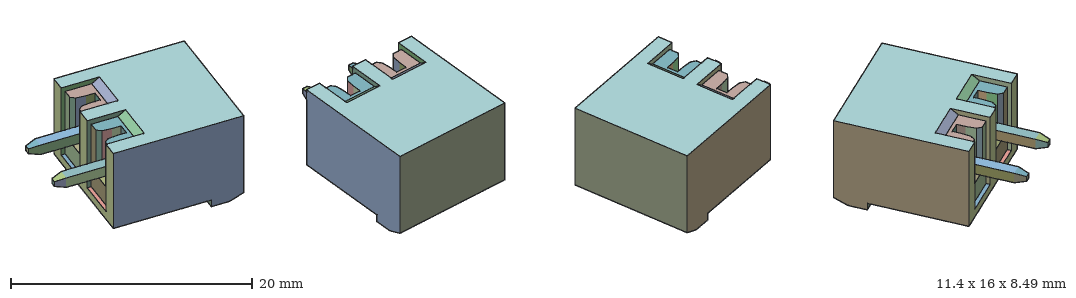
import cadquery as cq

housing_width = 11.4
housing_depth = 12.0
housing_height = 7.8

foot_depth = 3.0
foot_height = 0.69
foot_chamfer_depth = 1.3
foot_chamfer_height = 0.5

pitch = 5.0
contact_centres = [-pitch / 2, pitch / 2]

pocket_width = 3.58
front_recess_depth = 0.37
front_recess_height = 6.98
shelf_drop = 0.48
shelf_depth = 2.82
shelf_rear_slope_depth = 0.7

pin_size = 1.0
pin_reach = 4.0
pin_centre_z = 3.92
pin_bottom_z = pin_centre_z - pin_size / 2
tip_length = 1.0
tip_size = pin_size / 2

slot_width = 1.02
slot_depth = 2.5
flare_start_depth = 1.7
lead_in_depth = 0.77
lead_in_width = 1.2
mouth_width = 1.82
floor_clearance = 0.03
mouth_height = 5.07
mouth_floor_z = housing_height - mouth_height


def make_housing():
    """Side outline of the block and its chamfered foot, extruded across the width."""
    foot_front = housing_depth - foot_depth
    return (
        cq.Workplane("YZ")
        .moveTo(0, 0)
        .lineTo(foot_front, 0)
        .lineTo(foot_front, -foot_height)
        .lineTo(housing_depth - foot_chamfer_depth, -foot_height)
        .lineTo(housing_depth, foot_chamfer_height - foot_height)
        .lineTo(housing_depth, housing_height)
        .lineTo(0, housing_height)
        .close()
        .extrude(housing_width / 2, both=True)
    )


def make_pocket():
    """Stepped pocket: a thin front recess joined to a shallow shelf with a sloped rear wall."""
    shelf_z = housing_height - shelf_drop
    recess_bottom = housing_height - front_recess_height
    return (
        cq.Workplane("YZ")
        .moveTo(0, recess_bottom)
        .lineTo(front_recess_depth, recess_bottom)
        .lineTo(front_recess_depth, shelf_z)
        .lineTo(shelf_depth, shelf_z)
        .lineTo(shelf_depth + shelf_rear_slope_depth, housing_height)
        .lineTo(0, housing_height)
        .close()
        .extrude(pocket_width / 2, both=True)
    )


def make_slot():
    """Slot open to the top and front, with flared sides and a floor that falls to the mouth."""
    plan = (
        cq.Workplane("XY")
        .moveTo(-mouth_width / 2, front_recess_depth)
        .lineTo(-lead_in_width / 2, lead_in_depth)
        .lineTo(-slot_width / 2, flare_start_depth)
        .lineTo(-slot_width / 2, slot_depth)
        .lineTo(slot_width / 2, slot_depth)
        .lineTo(slot_width / 2, flare_start_depth)
        .lineTo(lead_in_width / 2, lead_in_depth)
        .lineTo(mouth_width / 2, front_recess_depth)
        .close()
        .extrude(housing_height)
    )
    floor_z = pin_bottom_z - floor_clearance
    side = (
        cq.Workplane("YZ")
        .moveTo(front_recess_depth, mouth_floor_z)
        .lineTo(flare_start_depth, floor_z)
        .lineTo(slot_depth, floor_z)
        .lineTo(slot_depth, housing_height)
        .lineTo(front_recess_depth, housing_height)
        .close()
        .extrude(mouth_width / 2, both=True)
    )
    return plan.intersect(side)


def make_pin():
    """Square pin running forward from the slot's rear wall, ending in a tapered tip."""
    shank_length = slot_depth + pin_reach - tip_length
    shank = (
        cq.Workplane("XZ", origin=(0, slot_depth, pin_centre_z))
        .rect(pin_size, pin_size)
        .extrude(shank_length)
    )
    tip = (
        cq.Workplane("XZ", origin=(0, tip_length - pin_reach, pin_centre_z))
        .rect(pin_size, pin_size)
        .workplane(offset=tip_length)
        .rect(tip_size, tip_size)
        .loft(ruled=True)
    )
    return shank.union(tip)


result = make_housing()
for centre_x in contact_centres:
    position = (centre_x, 0, 0)
    result = result.cut(make_pocket().translate(position))
    result = result.cut(make_slot().translate(position))
    result = result.union(make_pin().translate(position))